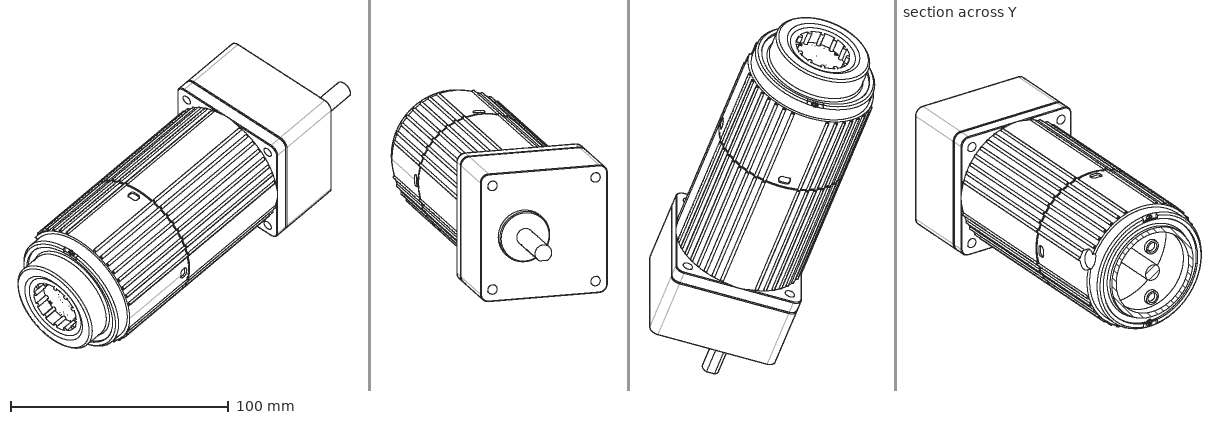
import cadquery as cq
import math


SQUARE = 61.0
CORNER_RADIUS = 4.0
EDGE_CHAMFER = 0.4
GEARBOX_LENGTH = 31.6
FLANGE_THICKNESS = 6.4
SCREW_SPACING = 49.5
SCREW_HOLE_DIAMETER = 4.5

SHAFT_OFFSET = 10.0
SHAFT_DIAMETER = 8.0
SHAFT_REACH = 32.0
FLAT_LENGTH = 20.0
FLAT_DEPTH = 0.5
BOSS_DIAMETER = 24.0
BOSS_LENGTH = 3.0
BOSS_CHAMFER = 0.5

BARREL_RADIUS = 30.47
RIB_RADIUS = 0.75
RIB_END_GAP = 0.6
RIBS_PER_QUADRANT = 8
FIRST_RIB_ANGLE = 16.0
MOTOR_BARREL_LENGTH = 61.3
MOTOR_END_CHAMFER = 0.4

COVER_BARREL_LENGTH = 41.4
CAP_RADIUS = 29.0
CAP_LENGTH = 7.1
NECK_RADIUS = 22.75
NECK_LENGTH = 11.2
REAR_CHAMFER = 1.0
RIM_INNER_RADIUS = 26.2
RIM_HEIGHT = 1.1
NECK_ROOT_WIDTH = 0.6
NECK_ROOT_HEIGHT = 1.5
COVER_BORE_RADIUS = 28.0
COVER_END_WALL = 2.5
NECK_BORE_RADIUS = 20.0

SEAT_WIDTH = 7.8
SEAT_HOLE_PLACE_RADIUS = 27.0
SEAT_HOLE_RADIUS = 1.6
SEAT_HOLE_DEPTH = 0.6
SEAT_PILOT_RADIUS = 1.0
SEAT_PILOT_DEPTH = 1.8

MOUTH_RADIUS = 17.6
LEDGE_RADIUS = 15.8
LEDGE_DEPTH = 1.0
SOCKET_RADIUS = 13.0
SOCKET_DEPTH = 7.5
SOCKET_FLOOR_THICKNESS = 0.6
TOOTH_RADIUS = 0.95
TOOTH_PLACE_RADIUS = 12.4
TOOTH_ANGLE_STEP = 30
FLOOR_HOLE_RADIUS = 0.8
FLOOR_HOLE_PLACE_RADIUS = 12.3
FLOOR_BOSS_OUTER_RADIUS = 3.4
FLOOR_BOSS_INNER_RADIUS = 2.3
FLOOR_BOSS_LENGTH = 3.0

WINDOW_LENGTH = 5.3
WINDOW_WIDTH = 3.7
WINDOW_CORNER = 1.3
WINDOW_DEPTH = 1.0
WINDOW_SETBACK = 3.8
CABLE_HOLE_RADIUS = 4.6
CABLE_HOLE_HEIGHT = 9.9
CABLE_HOLE_SETBACK = 38.5

SPIGOT_LENGTH = 20.0

FLANGE_REAR = GEARBOX_LENGTH + FLANGE_THICKNESS
COVER_FRONT = FLANGE_REAR + MOTOR_BARREL_LENGTH
CAP_FRONT = COVER_FRONT + COVER_BARREL_LENGTH
CAP_REAR = CAP_FRONT + CAP_LENGTH
NECK_REAR = CAP_REAR + NECK_LENGTH
SOCKET_FLOOR = NECK_REAR - SOCKET_DEPTH
CAVITY_END = SOCKET_FLOOR - SOCKET_FLOOR_THICKNESS


def plane_at(depth):
    """Sketch plane whose normal is -Y, with local x along X and local y along Z."""
    return cq.Workplane("XZ", origin=(0, -depth, 0))


def cylinder(radius, front, rear):
    """Cylinder on the motor axis between two depths."""
    return plane_at(front).circle(radius).extrude(rear - front)


def square_block(front, rear):
    """Rounded square block with chamfered ends and four screw holes."""
    block = plane_at(front).rect(SQUARE, SQUARE).extrude(rear - front)
    block = block.edges("|Y").fillet(CORNER_RADIUS)
    block = block.faces("<Y or >Y").edges().chamfer(EDGE_CHAMFER)
    holes = plane_at(front).rect(SCREW_SPACING, SCREW_SPACING, forConstruction=True).vertices()
    return block.cut(holes.circle(SCREW_HOLE_DIAMETER / 2).extrude(rear - front))


def polar(radius, angle):
    """Point at a radius and an angle in degrees."""
    return (radius * math.cos(math.radians(angle)), radius * math.sin(math.radians(angle)))


def barrel_ribs(front, rear):
    """Half-round lengthwise ribs that leave a plain band on each of the four sides."""
    pitch = (90 - 2 * FIRST_RIB_ANGLE) / (RIBS_PER_QUADRANT - 1)
    points = []
    for quadrant in range(4):
        for index in range(RIBS_PER_QUADRANT):
            angle = 90 * quadrant + FIRST_RIB_ANGLE + pitch * index
            points.append(polar(BARREL_RADIUS, angle))
    return plane_at(front).pushPoints(points).circle(RIB_RADIUS).extrude(rear - front)


def make_gearbox():
    gearbox = square_block(0, GEARBOX_LENGTH)
    boss = plane_at(-BOSS_LENGTH).center(SHAFT_OFFSET, 0).circle(BOSS_DIAMETER / 2).extrude(BOSS_LENGTH)
    boss = boss.faces(">Y").edges().chamfer(BOSS_CHAMFER)
    bore = plane_at(-BOSS_LENGTH).center(SHAFT_OFFSET, 0).circle(SHAFT_DIAMETER / 2).extrude(BOSS_LENGTH)
    return gearbox.union(boss).cut(bore)


def make_output_shaft():
    shaft = plane_at(-SHAFT_REACH).center(SHAFT_OFFSET, 0).circle(SHAFT_DIAMETER / 2).extrude(SHAFT_REACH)
    flat_height = FLAT_DEPTH - SHAFT_DIAMETER / 2
    flat = (
        plane_at(-SHAFT_REACH)
        .center(SHAFT_OFFSET, flat_height - SHAFT_DIAMETER / 2)
        .rect(SHAFT_DIAMETER, SHAFT_DIAMETER)
        .extrude(FLAT_LENGTH)
    )
    return shaft.cut(flat)


def make_motor():
    motor = square_block(GEARBOX_LENGTH, FLANGE_REAR)
    barrel = cylinder(BARREL_RADIUS, FLANGE_REAR - EDGE_CHAMFER, COVER_FRONT)
    barrel = barrel.faces("<Y").edges().chamfer(MOTOR_END_CHAMFER)
    motor = motor.union(barrel).union(barrel_ribs(FLANGE_REAR + RIB_END_GAP, COVER_FRONT - RIB_END_GAP))
    motor = motor.union(cylinder(COVER_BORE_RADIUS, COVER_FRONT, COVER_FRONT + SPIGOT_LENGTH))
    return motor.union(cylinder(SHAFT_DIAMETER / 2, COVER_FRONT, CAVITY_END))


def cover_end():
    """Cap and neck, revolved about the motor axis."""
    rim_floor = CAP_REAR - RIM_HEIGHT
    profile = [
        (0, CAP_FRONT),
        (CAP_RADIUS, CAP_FRONT),
        (CAP_RADIUS, CAP_REAR - REAR_CHAMFER),
        (CAP_RADIUS - REAR_CHAMFER, CAP_REAR),
        (RIM_INNER_RADIUS, CAP_REAR),
        (RIM_INNER_RADIUS, rim_floor),
        (NECK_RADIUS + NECK_ROOT_WIDTH, rim_floor),
        (NECK_RADIUS, rim_floor + NECK_ROOT_HEIGHT),
        (NECK_RADIUS, NECK_REAR - REAR_CHAMFER),
        (NECK_RADIUS - REAR_CHAMFER, NECK_REAR),
        (MOUTH_RADIUS, NECK_REAR),
        (LEDGE_RADIUS, NECK_REAR - LEDGE_DEPTH),
        (SOCKET_RADIUS, NECK_REAR - LEDGE_DEPTH),
        (SOCKET_RADIUS, SOCKET_FLOOR),
        (0, SOCKET_FLOOR),
    ]
    points = [(radius, -depth) for radius, depth in profile]
    return cq.Workplane("XY").polyline(points).close().revolve(360, (0, 0, 0), (0, 1, 0))


def socket_teeth():
    """Round-nosed teeth along the socket wall."""
    points = [polar(TOOTH_PLACE_RADIUS, angle) for angle in range(0, 360, TOOTH_ANGLE_STEP)]
    teeth = plane_at(SOCKET_FLOOR).pushPoints(points).circle(TOOTH_RADIUS)
    return teeth.extrude(SOCKET_DEPTH - LEDGE_DEPTH)


def floor_bosses():
    """Tubular bosses on the hidden side of the socket floor."""
    points = [(0, SOCKET_RADIUS), (0, -SOCKET_RADIUS)]
    bosses = plane_at(CAVITY_END - FLOOR_BOSS_LENGTH).pushPoints(points)
    return bosses.circle(FLOOR_BOSS_OUTER_RADIUS).circle(FLOOR_BOSS_INNER_RADIUS).extrude(FLOOR_BOSS_LENGTH)


def floor_holes():
    """Cutter for the small holes through the socket floor."""
    points = [polar(FLOOR_HOLE_PLACE_RADIUS, angle) for angle in (45, 135, 225, 315)]
    return plane_at(CAVITY_END).pushPoints(points).circle(FLOOR_HOLE_RADIUS).extrude(SOCKET_FLOOR_THICKNESS)


def screw_seats():
    """Cutter for the two seats in the cap rim, with a stepped screw hole in each."""
    seat_floor = CAP_REAR - RIM_HEIGHT
    slot_points = [(0, CAP_RADIUS), (0, -CAP_RADIUS)]
    slot_height = 2 * (CAP_RADIUS - RIM_INNER_RADIUS)
    hole_points = [(0, SEAT_HOLE_PLACE_RADIUS), (0, -SEAT_HOLE_PLACE_RADIUS)]
    slots = plane_at(seat_floor).pushPoints(slot_points).rect(SEAT_WIDTH, slot_height).extrude(RIM_HEIGHT)
    holes = plane_at(seat_floor - SEAT_HOLE_DEPTH).pushPoints(hole_points)
    pilots = plane_at(seat_floor - SEAT_PILOT_DEPTH).pushPoints(hole_points)
    seats = slots.union(holes.circle(SEAT_HOLE_RADIUS).extrude(SEAT_HOLE_DEPTH))
    return seats.union(pilots.circle(SEAT_PILOT_RADIUS).extrude(SEAT_PILOT_DEPTH))


def side_windows():
    """Cutter for the four shallow oblong recesses around the front of the cover."""
    window = (
        cq.Workplane("XY", origin=(0, -COVER_FRONT - WINDOW_SETBACK, BARREL_RADIUS - WINDOW_DEPTH))
        .rect(WINDOW_LENGTH, WINDOW_WIDTH)
        .extrude(2 * WINDOW_DEPTH)
        .edges("|Z")
        .fillet(WINDOW_CORNER)
    )
    windows = window
    for angle in (90, 180, 270):
        windows = windows.add(window.rotate((0, 0, 0), (0, 1, 0), angle))
    return windows.combine()


def cable_hole():
    """Cutter for the round cable hole through the -X wall of the cover."""
    centre = (-BARREL_RADIUS - RIB_RADIUS, -COVER_FRONT - CABLE_HOLE_SETBACK, CABLE_HOLE_HEIGHT)
    return cq.Workplane("YZ", origin=centre).circle(CABLE_HOLE_RADIUS).extrude(BARREL_RADIUS)


def make_rear_cover():
    cover = cylinder(BARREL_RADIUS, COVER_FRONT, CAP_FRONT)
    cover = cover.union(barrel_ribs(COVER_FRONT, CAP_FRONT - RIB_END_GAP))
    cover = cover.union(cover_end()).union(socket_teeth())
    cover = cover.cut(cylinder(COVER_BORE_RADIUS, COVER_FRONT, CAP_REAR - COVER_END_WALL))
    cover = cover.cut(cylinder(NECK_BORE_RADIUS, COVER_FRONT, CAVITY_END))
    cover = cover.union(floor_bosses()).cut(floor_holes())
    return cover.cut(screw_seats()).cut(side_windows()).cut(cable_hole())


gearbox = make_gearbox()
output_shaft = make_output_shaft()
motor = make_motor()
rear_cover = make_rear_cover()

result = cq.Compound.makeCompound([gearbox.val(), output_shaft.val(), motor.val(), rear_cover.val()])